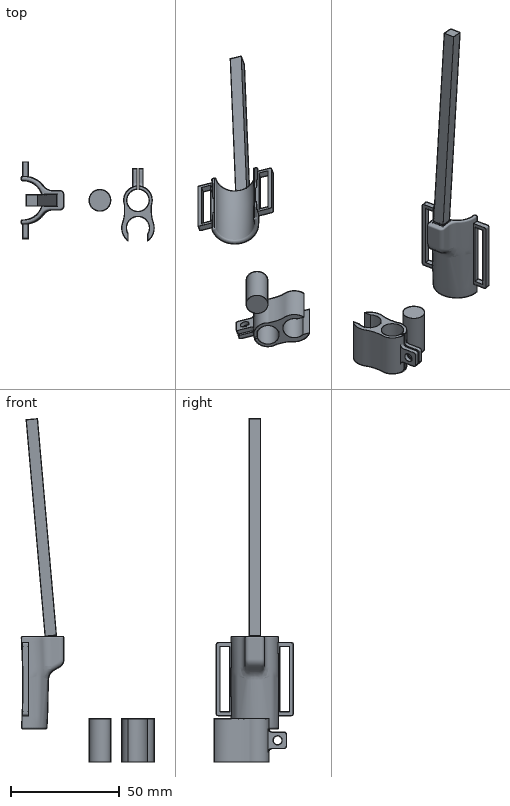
import cadquery as cq
import math

SELECT_MARGIN = 0.1

PIN_DIAMETER = 10.0
PIN_HEIGHT = 20.0
PIN_X = 35.4

HOLDER_BOTTOM = 15.2
HOLDER_TOP = 57.85
HOLDER_MIDDLE = (HOLDER_BOTTOM + HOLDER_TOP) / 2
TUBE_OUTER_RADIUS = 11.0
TUBE_WALL = 2.0
TUBE_BORE_RADIUS = TUBE_OUTER_RADIUS - TUBE_WALL
TUBE_LIP = 0.85
BOW_RADIUS = 300.0
RIM_FILLET = 0.8
TIP_FILLET = 0.6

HALF_HEIGHT = (HOLDER_TOP - HOLDER_BOTTOM) / 2
TUBE_MIDDLE_X = BOW_RADIUS - math.sqrt(BOW_RADIUS**2 - HALF_HEIGHT**2)
BOW_SWEEP = 12.0
TRIM_MARGIN = 5.0

BLOCK_WIDTH = 9.0
BLOCK_BACK_X = 18.85
BLOCK_BACK_HEIGHT = 13.0
BLOCK_BOTTOM_SLOPE = 30.0
BLOCK_CORNER_FILLET = 2.0
BLOCK_HEEL_FILLET = 4.0
BLOCK_JOINT_FILLET = 5.0

SOCKET_CLEARANCE = 0.3
SOCKET_DEPTH = 10.0

LOOP_FRONT_X = -0.1
LOOP_THICKNESS = 2.6
LOOP_OUTER_Y = 17.74
LOOP_FRAME = 1.85
LOOP_WINDOW_WIDTH = 4.3
LOOP_WINDOW_HEIGHT = 30.0
LOOP_BOTTOM = 21.3
LOOP_HEIGHT = LOOP_WINDOW_HEIGHT + 2 * LOOP_FRAME
LOOP_CORNER_FILLET = 1.0
LOOP_ROOT_Y = TUBE_OUTER_RADIUS - TUBE_WALL / 2

ROD_SIDE = 5.3
ROD_LENGTH = 100.0
ROD_LEAN = 5.0
ROD_FRONT_X = 10.15

CLIP_X = 52.89
CLIP_HEIGHT = 20.0
RING_BORE_RADIUS = 5.1
RING_OUTER_RADIUS = 6.6
SNAP_BORE_RADIUS = 5.25
SNAP_OUTER_RADIUS = 7.5
SNAP_Y = -12.7
SNAP_OPENING = 9.0
WEB_WIDTH = 12.4
WEB_FILLET = 15.0
LUG_THICKNESS = 2.0
LUG_GAP = 0.8
LUG_TIP_Y = 14.6
LUG_HEIGHT = 7.6
LUG_CORNER_FILLET = 1.2
LUG_ROOT_FILLET = 1.5
LUG_HOLE_DIAMETER = 4.0
LUG_HOLE_Y = 10.5


def lean_onto_holder(body):
    """Tilt a body towards -X and set its origin at the rod's place on the holder top."""
    return body.rotate((0, 0, 0), (0, 1, 0), -ROD_LEAN).translate((ROD_FRONT_X, 0, HOLDER_TOP))


def bowed(section):
    """Sweep a cross-section drawn about the tube axis along the bow of the tube."""
    return section.revolve(BOW_SWEEP, (-BOW_RADIUS, 0, 0), (-BOW_RADIUS, 1, 0)).rotate(
        (TUBE_MIDDLE_X - BOW_RADIUS, 0, HOLDER_MIDDLE),
        (TUBE_MIDDLE_X - BOW_RADIUS, 1, HOLDER_MIDDLE),
        -BOW_SWEEP / 2,
    )


def tube_section():
    """Workplane across the tube at mid height, centred on the tube axis."""
    return cq.Workplane("XY", origin=(TUBE_MIDDLE_X, 0, HOLDER_MIDDLE))


def socket_block():
    """Block from the tube axis back, with a sloping underside and rounded outer edges."""
    top = HOLDER_TOP + TRIM_MARGIN
    back_bottom = HOLDER_TOP - BLOCK_BACK_HEIGHT
    underside_drop = BLOCK_BACK_X * math.tan(math.radians(BLOCK_BOTTOM_SLOPE))
    side = [(0, top), (BLOCK_BACK_X, top), (BLOCK_BACK_X, back_bottom), (0, back_bottom - underside_drop)]
    block = cq.Workplane("XZ").polyline(side).close().extrude(BLOCK_WIDTH / 2, both=True)
    block = block.faces(">X").edges("<Z").fillet(BLOCK_HEEL_FILLET)
    return block.faces("|Y").edges("(not >Z) and (not <X)").fillet(BLOCK_CORNER_FILLET)


def socket():
    """Blind square hole for the foot of the rod."""
    side = ROD_SIDE + 2 * SOCKET_CLEARANCE
    hole = (
        cq.Workplane("XY")
        .box(side, side, SOCKET_DEPTH + TRIM_MARGIN)
        .translate((ROD_SIDE / 2, 0, (TRIM_MARGIN - SOCKET_DEPTH) / 2))
    )
    return lean_onto_holder(hole)


def tip_edges():
    """Selector for the long front edges of the tube wall."""
    reach = 2 * TUBE_OUTER_RADIUS
    return cq.selectors.BoxSelector((-reach, -reach, HOLDER_BOTTOM), (TUBE_LIP, reach, HOLDER_TOP))


def joint_edges():
    """Selector for the edges where the socket block runs into the round of the tube."""
    half_width = BLOCK_WIDTH / 2 + SELECT_MARGIN
    back = TUBE_MIDDLE_X + TUBE_OUTER_RADIUS + SELECT_MARGIN
    top = HOLDER_TOP + TRIM_MARGIN + SELECT_MARGIN
    return cq.selectors.BoxSelector(
        (TUBE_BORE_RADIUS, -half_width, HOLDER_BOTTOM), (back, half_width, top), boundingbox=True
    )


def strap_loop():
    """Flat rectangular loop on the +Y side of the tube, with its root inside the tube wall."""
    middle_x = LOOP_FRONT_X + LOOP_THICKNESS / 2
    middle_z = LOOP_BOTTOM + LOOP_HEIGHT / 2
    plate_width = LOOP_OUTER_Y - LOOP_ROOT_Y
    plate = (
        cq.Workplane("XY")
        .box(LOOP_THICKNESS, plate_width, LOOP_HEIGHT)
        .edges(">Y and |X")
        .fillet(LOOP_CORNER_FILLET)
        .translate((middle_x, LOOP_ROOT_Y + plate_width / 2, middle_z))
    )
    window_y = LOOP_OUTER_Y - LOOP_FRAME - LOOP_WINDOW_WIDTH / 2
    window = (
        cq.Workplane("XY")
        .box(LOOP_THICKNESS, LOOP_WINDOW_WIDTH, LOOP_WINDOW_HEIGHT)
        .translate((middle_x, window_y, middle_z))
    )
    return plate.cut(window)


def make_holder():
    body = bowed(tube_section().circle(TUBE_OUTER_RADIUS)).union(socket_block())
    body = body.edges(joint_edges()).fillet(BLOCK_JOINT_FILLET)
    body = body.cut(bowed(tube_section().circle(TUBE_BORE_RADIUS)))
    front_depth = TUBE_OUTER_RADIUS + TRIM_MARGIN
    front_width = 2 * TUBE_OUTER_RADIUS + TRIM_MARGIN
    front = tube_section().center(-TUBE_LIP - front_depth / 2, 0).rect(front_depth, front_width)
    body = body.cut(bowed(front))
    body = body.edges(tip_edges()).fillet(TIP_FILLET)
    slab_side = 2 * (BLOCK_BACK_X + TRIM_MARGIN)
    slab = (
        cq.Workplane("XY", origin=(0, 0, HOLDER_BOTTOM))
        .rect(slab_side, slab_side)
        .extrude(HOLDER_TOP - HOLDER_BOTTOM)
    )
    body = body.intersect(slab)
    body = body.faces("<Z or >Z").edges().fillet(RIM_FILLET)
    body = body.cut(socket())
    loop = strap_loop()
    return body.union(loop).union(loop.mirror("XZ"))


def make_rod():
    """Square rod leaning towards -X, its lower front edge on the holder top."""
    rod = cq.Workplane("XY").box(ROD_SIDE, ROD_SIDE, ROD_LENGTH, centered=(False, True, False))
    return lean_onto_holder(rod)


def make_pin():
    return cq.Workplane("XY").center(PIN_X, 0).circle(PIN_DIAMETER / 2).extrude(PIN_HEIGHT)


def clip_cylinder(radius, y):
    return cq.Workplane("XY").center(0, y).circle(radius).extrude(CLIP_HEIGHT)


def clip_slot(width, y_start, y_end):
    """Block of the full clip height, centred on X = 0."""
    middle = (y_start + y_end) / 2
    return cq.Workplane("XY").center(0, middle).rect(width, y_end - y_start).extrude(CLIP_HEIGHT)


def clamp_lugs():
    """Block of both lugs, before the gap is cut."""
    lug = (
        cq.Workplane("YZ")
        .center(LUG_TIP_Y / 2, CLIP_HEIGHT / 2)
        .rect(LUG_TIP_Y, LUG_HEIGHT)
        .extrude(LUG_THICKNESS + LUG_GAP / 2, both=True)
    )
    return lug.edges(">Y and |X").fillet(LUG_CORNER_FILLET)


def lug_root_edges():
    """Selector for the curved edges above and below the lugs, where they meet the ring."""
    half_width = LUG_THICKNESS + LUG_GAP / 2 - SELECT_MARGIN
    half_height = LUG_HEIGHT / 2 + SELECT_MARGIN
    middle = CLIP_HEIGHT / 2
    return cq.selectors.BoxSelector(
        (-half_width, RING_BORE_RADIUS, middle - half_height),
        (half_width, RING_OUTER_RADIUS + SELECT_MARGIN, middle + half_height),
    )


def web_corners():
    """Selector for the upright edges where the web sides meet the snap ring."""
    side_x = WEB_WIDTH / 2
    corner_y = SNAP_Y + math.sqrt(SNAP_OUTER_RADIUS**2 - side_x**2)
    return cq.selectors.BoxSelector(
        (-side_x - SELECT_MARGIN, corner_y - SELECT_MARGIN, 0),
        (side_x + SELECT_MARGIN, corner_y + SELECT_MARGIN, CLIP_HEIGHT),
    )


def make_clip():
    clip = clip_cylinder(RING_OUTER_RADIUS, 0)
    clip = clip.union(clamp_lugs())
    clip = clip.edges(lug_root_edges()).fillet(LUG_ROOT_FILLET)
    clip = clip.union(clip_slot(WEB_WIDTH, SNAP_Y, 0))
    clip = clip.union(clip_cylinder(SNAP_OUTER_RADIUS, SNAP_Y))
    clip = clip.edges(web_corners()).fillet(WEB_FILLET)
    clip = clip.cut(clip_cylinder(RING_BORE_RADIUS, 0))
    clip = clip.cut(clip_cylinder(SNAP_BORE_RADIUS, SNAP_Y))
    clip = clip.cut(clip_slot(SNAP_OPENING, SNAP_Y - 2 * SNAP_OUTER_RADIUS, SNAP_Y))
    clip = clip.cut(clip_slot(LUG_GAP, 0, LUG_TIP_Y))
    lug_hole = (
        cq.Workplane("YZ")
        .center(LUG_HOLE_Y, CLIP_HEIGHT / 2)
        .circle(LUG_HOLE_DIAMETER / 2)
        .extrude(SNAP_OUTER_RADIUS, both=True)
    )
    return clip.cut(lug_hole).translate((CLIP_X, 0, 0))


holder = make_holder()
rod = make_rod()
pin = make_pin()
clip = make_clip()

result = cq.Compound.makeCompound([holder.val(), rod.val(), pin.val(), clip.val()])